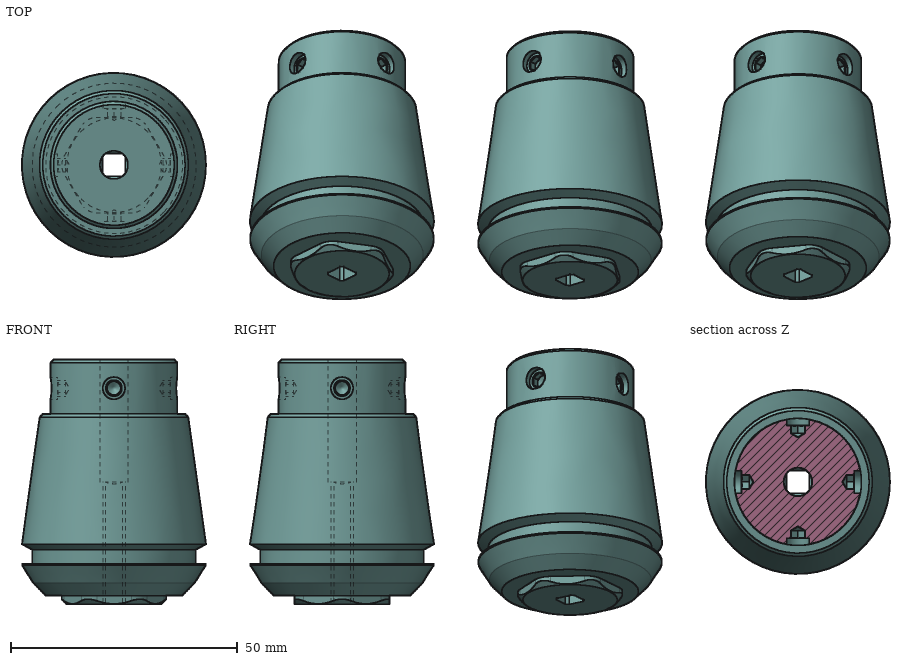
import cadquery as cq
import math

TOTAL_HEIGHT = 54.0
HEX_HEIGHT = 1.95
FLANGE_BREAK_Z = 4.8
FLANGE_RIM_Z = 8.65
GROOVE_BOTTOM_Z = 8.95
GROOVE_TOP_Z = 12.05
BODY_WIDEST_Z = 13.3
SHOULDER_Z = 42.0
EDGE_CHAMFER = 0.7

BODY_DIAMETER = 40.65
FLANGE_DIAMETER = 40.55
FLANGE_BREAK_DIAMETER = 35.75
FLANGE_BASE_DIAMETER = 30.2
GROOVE_DIAMETER = 36.2
SHOULDER_DIAMETER = 32.85
HEAD_DIAMETER = 28.0

HEX_SIDES = 6
HEX_ACROSS_FLATS = 21.05
HEX_CORNER_RADIUS = 3.95
HEX_BASE_DIAMETER = 20.85

BORE_DIAMETER = 6.2
SQUARE_WIDTH = 4.95
BORE_DEPTH = 27.0
DRILL_POINT_ANGLE = 118.0

SCREW_COUNT = 4
SCREW_Z = 47.7
SCREW_DIAMETER = 4.9
SCREW_RECESS_RADIUS = 12.5
SOCKET_WIDTH = 3.0
SOCKET_DEPTH = 1.75
SOCKET_MOUTH_DIAMETER = 3.55


def cone_depth(radius):
    """Height of a drill-point cone with the given base radius."""
    return radius / math.tan(math.radians(DRILL_POINT_ANGLE / 2))


def across_corners(across_flats):
    """Corner-to-corner size of a hexagon with the given size across its flats."""
    return across_flats / math.cos(math.pi / HEX_SIDES)


def turned_body():
    """Revolved outer shape from the flange base to the top of the head."""
    shoulder_top_radius = SHOULDER_DIAMETER / 2 - EDGE_CHAMFER
    head_top_radius = HEAD_DIAMETER / 2 - EDGE_CHAMFER
    outline = [
        (0, HEX_HEIGHT),
        (FLANGE_BASE_DIAMETER / 2, HEX_HEIGHT),
        (FLANGE_BREAK_DIAMETER / 2, FLANGE_BREAK_Z),
        (FLANGE_DIAMETER / 2, FLANGE_RIM_Z),
        (FLANGE_DIAMETER / 2, GROOVE_BOTTOM_Z),
        (GROOVE_DIAMETER / 2, GROOVE_BOTTOM_Z),
        (GROOVE_DIAMETER / 2, GROOVE_TOP_Z),
        (BODY_DIAMETER / 2, BODY_WIDEST_Z),
        (SHOULDER_DIAMETER / 2, SHOULDER_Z - EDGE_CHAMFER),
        (shoulder_top_radius, SHOULDER_Z),
        (HEAD_DIAMETER / 2, SHOULDER_Z),
        (HEAD_DIAMETER / 2, TOTAL_HEIGHT - EDGE_CHAMFER),
        (head_top_radius, TOTAL_HEIGHT),
        (0, TOTAL_HEIGHT),
    ]
    return cq.Workplane("XZ").polyline(outline).close().revolve(360, (0, 0, 0), (0, 1, 0))


def hexagon():
    """Round-cornered hexagon with flats facing +Y and -Y and a 45 degree turned lower edge."""
    prism = cq.Workplane("XY").polygon(HEX_SIDES, across_corners(HEX_ACROSS_FLATS)).extrude(HEX_HEIGHT)
    prism = prism.edges("|Z").fillet(HEX_CORNER_RADIUS)
    base_radius = HEX_BASE_DIAMETER / 2
    cone = cq.Solid.makeCone(base_radius, base_radius + HEX_HEIGHT, HEX_HEIGHT)
    return prism.intersect(cq.Workplane(obj=cone))


def central_bore():
    """Round bore with a drill-point bottom, and the square hole running on through the base."""
    radius = BORE_DIAMETER / 2
    floor_z = TOTAL_HEIGHT - BORE_DEPTH
    outline = [
        (0, floor_z - cone_depth(radius)),
        (radius, floor_z),
        (radius, TOTAL_HEIGHT),
        (0, TOTAL_HEIGHT),
    ]
    bore = cq.Workplane("XZ").polyline(outline).close().revolve(360, (0, 0, 0), (0, 1, 0))
    square = cq.Workplane("XY").rect(SQUARE_WIDTH, SQUARE_WIDTH).extrude(floor_z)
    rounding = cq.Workplane("XY").circle(radius).extrude(floor_z)
    return bore.union(square.intersect(rounding))


def screw_recess():
    """Recess over the +X set screw, with its cone-ended hexagon socket, corners up and down."""
    face = cq.Workplane("YZ", origin=(SCREW_RECESS_RADIUS, 0, SCREW_Z))
    recess = face.circle(SCREW_DIAMETER / 2).extrude(HEAD_DIAMETER)
    upright = face.transformed(rotate=(0, 0, 90))
    socket = upright.polygon(HEX_SIDES, across_corners(SOCKET_WIDTH)).extrude(-SOCKET_DEPTH)
    inward = cq.Vector(-1, 0, 0)
    point_radius = SOCKET_WIDTH / 2
    point = cq.Solid.makeCone(
        point_radius, 0, cone_depth(point_radius),
        cq.Vector(SCREW_RECESS_RADIUS - SOCKET_DEPTH, 0, SCREW_Z), inward,
    )
    mouth_radius = SOCKET_MOUTH_DIAMETER / 2
    mouth = cq.Solid.makeCone(
        mouth_radius, 0, cone_depth(mouth_radius),
        cq.Vector(SCREW_RECESS_RADIUS, 0, SCREW_Z), inward,
    )
    return recess.union(socket).union(cq.Workplane(obj=point)).union(cq.Workplane(obj=mouth))


result = turned_body().union(hexagon()).cut(central_bore())
for index in range(SCREW_COUNT):
    angle = index * 360 / SCREW_COUNT
    result = result.cut(screw_recess().rotate((0, 0, 0), (0, 0, 1), angle))